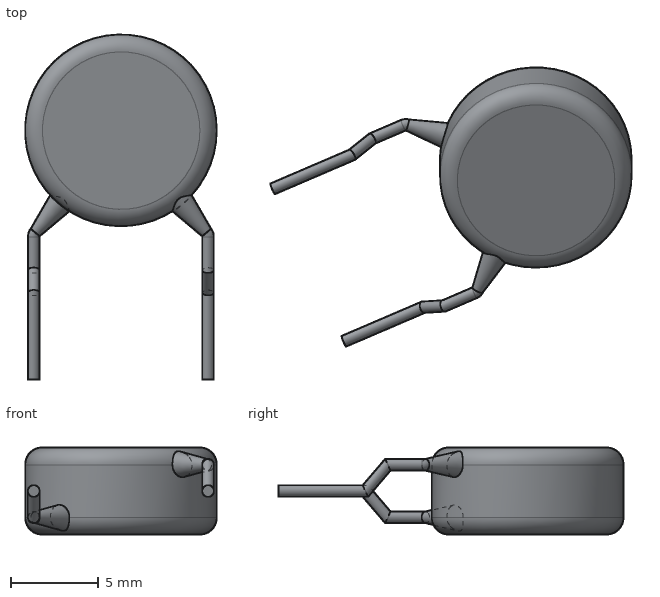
import cadquery as cq
import math

disc_diameter = 11.0
disc_height = 5.0
edge_radius = 0.99

overall_length = 19.8
wire_diameter = 0.67
lead_pitch = 10.0
tail_length = 4.99
crank_length = 1.29
lead_exit_height = 1.5
elbow_radius = 0.35
elbow_angle = 40.0

cone_half_angle = 10.0

disc_radius = disc_diameter / 2
wire_radius = wire_diameter / 2
lead_x = lead_pitch / 2

elbow_turn = math.radians(elbow_angle)
elbow_end_x = lead_x - elbow_radius * (1 - math.cos(elbow_turn))
elbow_end_y = -elbow_end_x / math.tan(elbow_turn)
elbow_start_y = elbow_end_y - elbow_radius * math.sin(elbow_turn)

lead_end_y = disc_radius - overall_length
crank_end_y = lead_end_y + tail_length
crank_start_y = crank_end_y + crank_length


def make_housing():
    """Disc with rounded top and bottom edges."""
    disc = cq.Workplane("XY").cylinder(disc_height, disc_radius)
    return disc.edges("%CIRCLE").fillet(edge_radius)


def make_lead(side):
    """Cranked wire with an elbow; side is the sign of its X and of its height at the disc."""
    x = side * lead_x
    z = side * lead_exit_height
    path = (
        cq.Workplane("YZ", origin=(x, 0, 0))
        .moveTo(lead_end_y, 0)
        .lineTo(crank_end_y, 0)
        .lineTo(crank_start_y, z)
        .lineTo(elbow_start_y, z)
    )
    wire = (
        cq.Workplane("XZ", origin=(x, lead_end_y, 0))
        .circle(wire_radius)
        .sweep(path, transition="right")
    )
    pivot_x = -side * elbow_radius
    elbow = (
        cq.Workplane("XZ", origin=(x, elbow_start_y, z))
        .circle(wire_radius)
        .revolve(elbow_angle, (pivot_x, 0), (pivot_x, side))
    )
    return wire.union(elbow)


def make_cone(side, housing):
    """Coating cone from the end of the elbow to the surface of the housing."""
    start = cq.Vector(side * elbow_end_x, elbow_end_y, side * lead_exit_height)
    inwards = cq.Vector(-side * elbow_end_x, -elbow_end_y, 0)
    length = inwards.Length - (disc_radius - edge_radius)
    base_radius = wire_radius + length * math.tan(math.radians(cone_half_angle))
    cone = cq.Solid.makeCone(wire_radius, base_radius, length, pnt=start, dir=inwards)
    return cq.Workplane(obj=cone).cut(housing)


housing = make_housing()

leads = []
cones = []
for side in (-1, 1):
    leads.append(make_lead(side).val())
    cones.append(make_cone(side, housing).val())

result = cq.Compound.makeCompound([housing.val(), *leads, *cones])